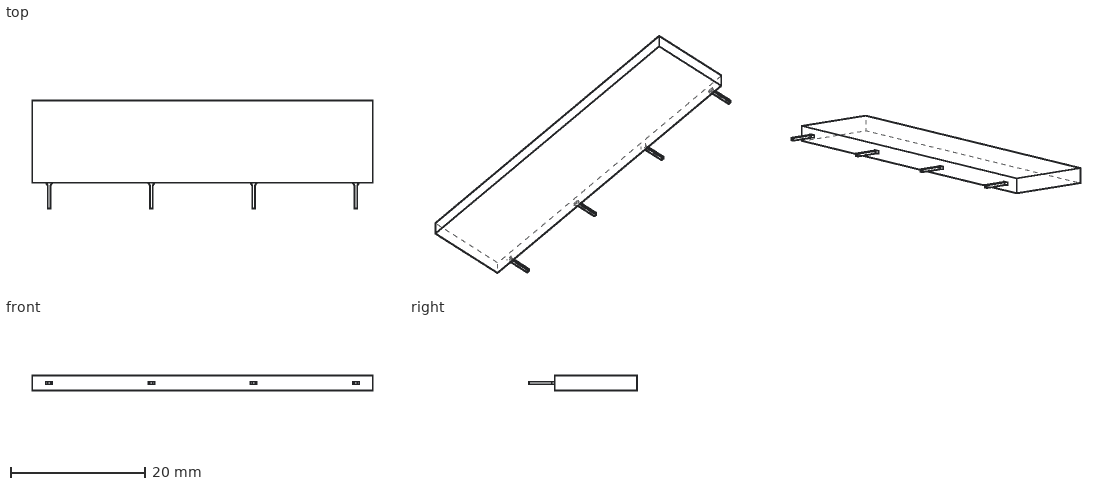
import cadquery as cq

body_length = 50.8
body_depth = 12.3
body_thickness = 2.3

pin_count = 4
pin_pitch = 15.25
pin_length = 3.85
pin_width = 0.45
pin_thickness = 0.4
root_width = 0.95
root_length = 0.4


def make_pin(x_center):
    """Pin along -Y from the front face, tapering in width from its root."""
    half_root = root_width / 2
    half_pin = pin_width / 2
    outline = [
        (-half_root, 0),
        (-half_pin, -root_length),
        (-half_pin, -pin_length),
        (half_pin, -pin_length),
        (half_pin, -root_length),
        (half_root, 0),
    ]
    pin = cq.Workplane("XY").polyline(outline).close().extrude(pin_thickness / 2, both=True)
    return pin.translate((x_center, 0, 0))


result = cq.Workplane("XY").box(
    body_length, body_depth, body_thickness, centered=(True, False, True)
)

for index in range(pin_count):
    x_center = (index - (pin_count - 1) / 2) * pin_pitch
    result = result.union(make_pin(x_center))